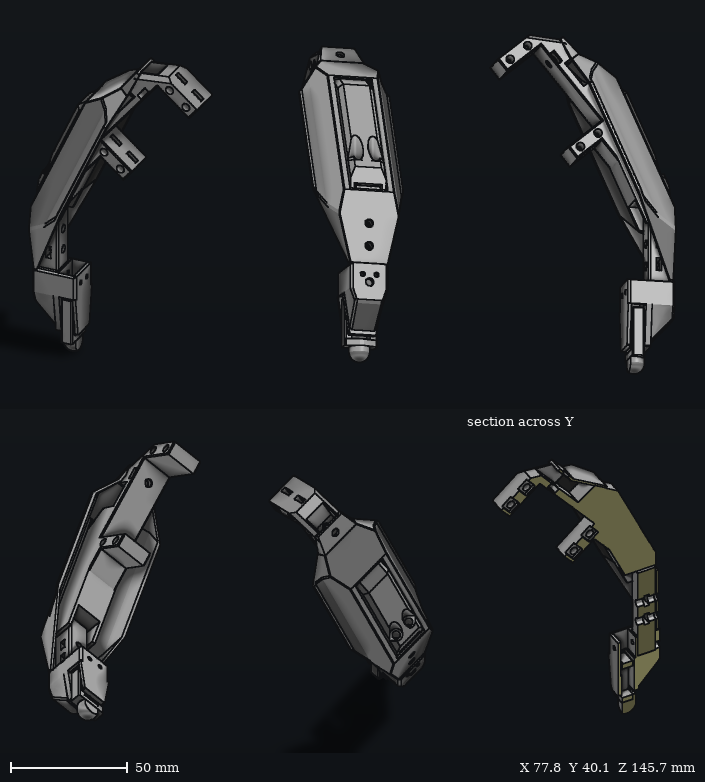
import cadquery as cq
import math

LEG_HEIGHT = 145.7
SCREW_DIA = 3.5
NUT_LENGTH = 5.5
NUT_WIDTH = 2.3
SMALL_EDGE = 0.5
BIG = 291.4

PANEL_X = 0.7
PANEL_Z = 72.0
PANEL_LEAN = math.radians(24.7)
PANEL_LENGTH = 61.2

LUG_THICKNESS = 6.5
HEAD_SETBACK = 0.36
ARM_LEAN = math.radians(40)
ARM_X = 58.9
ARM_Z = LEG_HEIGHT - LUG_THICKNESS * math.cos(ARM_LEAN) + HEAD_SETBACK * math.sin(ARM_LEAN)

WALL = 1.3
COVER_DEPTH = 14.9
COVER_BOTTOM = 40.2
COVER_BOTTOM_HALF_WIDTH = 8.5
LOWER_TAPER_DIRECTION = (-0.19, 1, -0.23)
UPPER_TAPER_POINT = (35.8, 14.1, 133.0)
UPPER_TAPER_DIRECTION = (0.2, 1, 0.64)
PANEL_HALF_WIDTH = 11.2
CREASE_DEPTH = 10.2
INNER_FLARE = math.radians(26)
OUTER_FLARE = math.radians(39)
FLANGE_HALF_WIDTH = 20.03
ROOF_SLOPE = math.radians(31.5)
BEVEL = 0.17
WINDOW_HALF_WIDTH = 8.5
WINDOW_MARGIN = 0.9
COVER_SCREWS_Z = (47.8, 57.7)

TAB_START = -13.0
TAB_END = -2.9
TAB_DEPTH = 10.42
TAB_HALF_WIDTH_START = 9.69
TAB_HALF_WIDTH_END = 7.3
TAB_SIDE_SLOPE = 0.22

BRACKET_HALF_WIDTH = 7.9
BOX_RISE = 3.2
BOX_START = 10.2
BOX_END = 54.3
BOX_CHAMFER = 2.0
BRACKET_FRONT_X = 2.1
BRACKET_BOTTOM = 65.3
ROOF_END_X = 32.0
FLOOR_THICKNESS = 3.4
FLOOR_START = -25.0
HEAD_START = -12.4
HEAD_CAVITY_HALF_WIDTH = 5.1
TAB_SCREW = -8.0
TAB_NUT_DEPTH = 1.9
HEEL_DEPTH = 5.4
HEEL_END = -59.3
HEEL_X = 12.5
ARM_CHAMFER = 0.51

LUG_REACH = 19.2
LOWER_LUG = -48.0
LUG_HOLES = (4.8, 14.9)
LUG_NUT_DEPTH = 5.2

SHIN_TOP = 74.3
SHIN_HALF_WIDTH = 5.4
SHIN_BACK_X = 11.0
SHIN_CHAMFER = 0.9
SHIN_FRONT_X = 2.2
SHIN_BOTTOM = 29.1
JOINT_TOP = 75.3
JOINT_HALF_WIDTH = 6.3
BORE_X = 6.34
BORE_Y = 4.0
BORE_FLOOR = 86.0
BORE_DIA = 5.5
BORE_HEIGHT = 17.5
NUT_X = 6.48

ANKLE_LENGTH = 20.7
ANKLE_HALF_WIDTH = 8.5
ANKLE_TOP = 39.9
ANKLE_BAND_BOTTOM = 29.0
ANKLE_CHAMFER = 1.0
BAND_TOP_CHAMFER = 0.6
BAND_SIDE_CHAMFER = 1.5
NOSE_BOTTOM = 23.5
NOSE_BOTTOM_HALF_WIDTH = 6.4
PLATE_FRONT_X = 10.2
PLATE_BACK_X = 12.8
PLATE_BOTTOM = 10.9
SLOPE_END_Z = 12.7
PLATE_BOTTOM_HALF_WIDTH = 6.0
BACK_WALL_X = 19.2
PAD_X = 18.6
PAD_TOP = 21.5
ANKLE_OPENING_X = 12.0
ANKLE_OPENING_HALF_WIDTH = 7.1
ANKLE_SCREW_Z = 31.8
PIN_DIA = 2.0
PIN_Y = 3.0
PIN_Z = 35.1

SLIDER_FRONT_X = 13.3
SLIDER_BACK_X = 18.57
SLIDER_HALF_WIDTH = 7.3
SLIDER_BOTTOM = 6.5
SLIDER_TOP = 27.8
SLIDER_CHAMFER = 0.6
SLIDER_WINDOW_HALF_WIDTH = 4.1
SLIDER_WINDOW_TOP = 24.8
FOOT_RADIUS = 4.5
FOOT_X = 16.2
FOOT_TOP = 9.5
DOME_HEIGHT = 4.1
FAIRING_FRONT_X = 11.8
FAIRING_STRIP_HALF_WIDTH = 0.9
FAIRING_HALF_WIDTH = 7.0


def on_panel(along, depth):
    """XZ point at a distance up the slanted panel and a depth behind it."""
    x = PANEL_X + along * math.sin(PANEL_LEAN) + depth * math.cos(PANEL_LEAN)
    z = PANEL_Z + along * math.cos(PANEL_LEAN) - depth * math.sin(PANEL_LEAN)
    return (x, z)


def on_arm(along, out):
    """XZ point at a distance up the arm's back face and a distance out behind it."""
    x = ARM_X + along * math.sin(ARM_LEAN) + out * math.cos(ARM_LEAN)
    z = ARM_Z + along * math.cos(ARM_LEAN) - out * math.sin(ARM_LEAN)
    return (x, z)


def across(points, half_width):
    """Prism of an XZ outline, centred on Y = 0."""
    return cq.Workplane("XZ").polyline(points).close().extrude(half_width, both=True)


def block(x_range, half_width, z_range):
    """Block centred on Y = 0."""
    (x0, x1), (z0, z1) = x_range, z_range
    return across([(x0, z0), (x1, z0), (x1, z1), (x0, z1)], half_width)


def arm_block(along_range, out_range, half_width):
    """Block with its sides along and across the arm."""
    (a0, a1), (o0, o1) = along_range, out_range
    return across([on_arm(a0, o0), on_arm(a0, o1), on_arm(a1, o1), on_arm(a1, o0)], half_width)


def cross_hole(centre, diameter):
    """Round cutter along Y."""
    return cq.Workplane("XZ").center(*centre).circle(diameter / 2).extrude(BIG / 2, both=True)


def front_hole(y, z, diameter, x_range):
    """Round cutter along X."""
    x0, x1 = x_range
    return cq.Workplane("YZ", origin=(x0, y, z)).circle(diameter / 2).extrude(x1 - x0)


def beyond(point, normal):
    """Large block filling the space on the outer side of a plane."""
    return cq.Workplane(cq.Plane(point, normal=normal)).rect(BIG, BIG).extrude(BIG)


def unit(vector):
    return cq.Vector(*vector).normalized()


def at_y(xz, y):
    return cq.Vector(xz[0], y, xz[1])


def mirrored(vector):
    return cq.Vector(vector.x, -vector.y, vector.z)


def panel_normal(flare):
    """Normal of a face that leaves the panel direction at a flare angle, on the +Y side."""
    return unit((
        -math.sin(flare) * math.cos(PANEL_LEAN),
        math.cos(flare),
        math.sin(flare) * math.sin(PANEL_LEAN),
    ))


ROOF_POINT = on_panel(PANEL_LENGTH, 0)
CREASE_HALF_WIDTH = PANEL_HALF_WIDTH + CREASE_DEPTH * math.tan(INNER_FLARE)
FLANGE_DEPTH = COVER_DEPTH - WALL
PLATE_FACE = (cq.Vector(PANEL_X, 0, PANEL_Z), unit((-1, 0, 0)))
PANEL_FACE = (
    cq.Vector(PANEL_X, 0, PANEL_Z),
    unit((-math.cos(PANEL_LEAN), 0, math.sin(PANEL_LEAN))),
)
ROOF_FACE = (at_y(ROOF_POINT, 0), unit((-math.sin(ROOF_SLOPE), 0, math.cos(ROOF_SLOPE))))
INNER_SIDE = (at_y(on_panel(0, 0), PANEL_HALF_WIDTH), panel_normal(INNER_FLARE))
OUTER_SIDE = (at_y(on_panel(0, CREASE_DEPTH), CREASE_HALF_WIDTH), panel_normal(OUTER_FLARE))
LOWER_TAPER = (cq.Vector(PANEL_X, COVER_BOTTOM_HALF_WIDTH, COVER_BOTTOM), unit(LOWER_TAPER_DIRECTION))
UPPER_TAPER = (cq.Vector(*UPPER_TAPER_POINT), unit(UPPER_TAPER_DIRECTION))
TAB_JOINT = (at_y(on_arm(TAB_START, 0), 0), unit((math.sin(ARM_LEAN), 0, math.cos(ARM_LEAN))))


def trim(body, face, inset):
    """Trim a body at a face moved inwards."""
    point, normal = face
    return body.cut(beyond(point - normal * inset, normal))


def trim_both_sides(body, face, inset):
    point, normal = face
    body = trim(body, face, inset)
    return trim(body, (mirrored(point), mirrored(normal)), inset)


def bevel(face, side):
    """Narrow face across the edge between two faces."""
    (point, normal), (side_point, side_normal) = face, side
    mix = normal.dot(side_normal)
    reach = normal.dot(point)
    side_reach = side_normal.dot(side_point)
    scale = 1 - mix * mix
    edge = normal * ((reach - mix * side_reach) / scale) + side_normal * ((side_reach - mix * reach) / scale)
    direction = (normal + side_normal).normalized()
    return (edge - direction * BEVEL, direction)


def behind_panel(depth, half_width):
    """Slab parallel to the panel, from a depth behind it to the open back of the cover."""
    outline = [on_panel(end, edge) for end, edge in (
        (-BIG / 2, depth), (-BIG / 2, COVER_DEPTH), (BIG / 2, COVER_DEPTH), (BIG / 2, depth)
    )]
    return across(outline, half_width)


def flared_layer(side, inset):
    """Space between the front faces and one pair of flared sides."""
    layer = behind_panel(-BIG / 2, BIG / 2)
    front_faces = (PLATE_FACE, PANEL_FACE, ROOF_FACE)
    for face in front_faces:
        layer = trim(layer, face, inset)
    layer = trim_both_sides(layer, side, inset)
    if inset == 0:
        for face in front_faces:
            layer = trim_both_sides(layer, bevel(face, side), 0)
        for taper in (LOWER_TAPER, UPPER_TAPER):
            layer = trim_both_sides(layer, bevel(side, taper), 0)
    return layer


def cover_form(inset):
    """Outer shape of the cover without its tab, moved inwards all round."""
    body = flared_layer(INNER_SIDE, inset).union(flared_layer(OUTER_SIDE, inset))
    if inset == 0:
        body = body.union(trim(behind_panel(FLANGE_DEPTH, FLANGE_HALF_WIDTH), PLATE_FACE, 0))
        body = trim_both_sides(body, bevel(PLATE_FACE, LOWER_TAPER), 0)
        body = trim_both_sides(body, bevel(ROOF_FACE, UPPER_TAPER), 0)
    for face in (LOWER_TAPER, UPPER_TAPER):
        body = trim_both_sides(body, face, inset)
    return trim(body, TAB_JOINT, 0)


def tab_section(along, half_width, inset):
    """Trapezoid across the arm, wider towards the back."""
    back = half_width + TAB_DEPTH * TAB_SIDE_SLOPE
    front_x, front_z = on_arm(along, inset - TAB_DEPTH)
    back_x, back_z = on_arm(along, 0)
    return cq.Wire.makePolygon([
        (front_x, half_width - inset, front_z),
        (front_x, inset - half_width, front_z),
        (back_x, inset - back, back_z),
        (back_x, back - inset, back_z),
    ], close=True)


def cover_tab(inset):
    """Tapered tab along the arm, as a loft of two trapezoids across it."""
    sections = [
        tab_section(TAB_START, TAB_HALF_WIDTH_START, inset),
        tab_section(TAB_END, TAB_HALF_WIDTH_END, inset),
    ]
    tab = cq.Workplane(cq.Solid.makeLoft(sections, True))
    back_face = (at_y(on_panel(0, COVER_DEPTH), 0), PANEL_FACE[1] * -1)
    return trim(tab, back_face, 0)


def make_cover(bracket, shin):
    """Thin cover, open at the back and the bottom, relieved where the bracket and shin meet it."""
    cover = cover_form(0).union(cover_tab(0))
    cavity = cover_form(WALL).union(cover_tab(WALL))
    cover = cover.cut(cavity)
    cover = cover.cut(beyond((0, 0, COVER_BOTTOM), (0, 0, -1)))
    window_ends = (WINDOW_MARGIN, PANEL_LENGTH - WINDOW_MARGIN)
    window_low, window_high = [[on_panel(end, depth) for depth in (-WALL, 2 * WALL)] for end in window_ends]
    window = across([*window_low, *reversed(window_high)], WINDOW_HALF_WIDTH)
    cover = cover.cut(window)
    for z in COVER_SCREWS_Z:
        cover = cover.cut(front_hole(0, z, SCREW_DIA, (0, SHIN_FRONT_X)))
    cover = cover.cut(tab_screw_hole())
    return cover.cut(bracket).cut(shin)


def tab_screw_hole():
    """Round cutter square to the arm, through the tab and the arm."""
    x, z = on_arm(TAB_SCREW, -TAB_DEPTH - WALL)
    direction = (math.cos(ARM_LEAN), 0, -math.sin(ARM_LEAN))
    plane = cq.Plane((x, 0, z), normal=direction)
    return cq.Workplane(plane).circle(SCREW_DIA / 2).extrude(TAB_DEPTH + 2 * WALL)


def lug_corners(base):
    """Two outer corners of a lug, top first."""
    return [on_arm(base + LUG_THICKNESS, LUG_REACH), on_arm(base, LUG_REACH)]


def drill_lug(bracket, base):
    """Cross holes of a lug with their nut slots."""
    top = base + LUG_THICKNESS
    for out in LUG_HOLES:
        bracket = bracket.cut(cross_hole(on_arm(base + LUG_THICKNESS / 2, out), SCREW_DIA))
        nut_range = (out - NUT_LENGTH / 2, out + NUT_LENGTH / 2)
        bracket = bracket.cut(arm_block((top - LUG_NUT_DEPTH, top + 1.5), nut_range, NUT_WIDTH / 2))
    return bracket


def chamfer_outline(bracket, points, size):
    """Chamfer, on both sides of the bracket, the edges between successive outline points."""
    found = []
    for (x0, z0), (x1, z1) in zip(points, points[1:]):
        for y in (-BRACKET_HALF_WIDTH, BRACKET_HALF_WIDTH):
            middle = ((x0 + x1) / 2, y, (z0 + z1) / 2)
            found += bracket.edges(cq.NearestToPointSelector(middle)).vals()
    return bracket.newObject(found).chamfer(size)


def teardrop_bore(side):
    """Vertical counterbore whose 45 degree tip points out to one side."""
    radius = BORE_DIA / 2
    reach = radius / math.sqrt(2)
    floor = cq.Workplane(origin=(BORE_X, side * BORE_Y, BORE_FLOOR))
    round_part = floor.circle(radius).extrude(BORE_HEIGHT)
    tip_outline = [(-reach, side * reach), (0, side * 2 * reach), (reach, side * reach), (0, 0)]
    tip = floor.polyline(tip_outline).close().extrude(BORE_HEIGHT)
    return round_part.union(tip)


def make_bracket():
    """Box, arm and two lugs in one outline, with a fork at the bottom for the shin."""
    box_low = on_panel(BOX_START, -BOX_RISE)
    box_high = on_panel(BOX_END, -BOX_RISE)
    roof_end = (ROOF_END_X, box_high[1] + (ROOF_END_X - box_high[0]) * math.tan(ROOF_SLOPE))
    head_front = WALL - TAB_DEPTH
    head_start = on_arm(TAB_END, head_front)
    head_end = on_arm(LUG_THICKNESS, HEAD_SETBACK)
    floor_start = on_arm(FLOOR_START, -FLOOR_THICKNESS)
    floor_end = on_arm(HEAD_START, -FLOOR_THICKNESS)
    back_line = [
        head_end,
        *lug_corners(0),
        on_arm(0, 0),
        on_arm(LOWER_LUG + LUG_THICKNESS, 0),
        *lug_corners(LOWER_LUG),
        on_arm(LOWER_LUG, HEEL_DEPTH),
        on_arm(HEEL_END, HEEL_DEPTH),
    ]
    bracket = across([
        (BRACKET_FRONT_X, BRACKET_BOTTOM),
        (BRACKET_FRONT_X, box_low[1]),
        box_high,
        roof_end,
        floor_start,
        floor_end,
        on_arm(HEAD_START, head_front),
        head_start,
        *back_line,
        (HEEL_X, BRACKET_BOTTOM),
    ], BRACKET_HALF_WIDTH)

    bracket = chamfer_outline(bracket, [box_low, box_high, roof_end], BOX_CHAMFER)
    bracket = chamfer_outline(bracket, [head_start, head_end], BOX_CHAMFER)
    bracket = chamfer_outline(bracket, back_line[1:], ARM_CHAMFER)

    bracket = bracket.cut(
        arm_block((HEAD_START, 2 * LUG_THICKNESS), (-2 * TAB_DEPTH, -FLOOR_THICKNESS), HEAD_CAVITY_HALF_WIDTH)
    )
    bracket = bracket.cut(tab_screw_hole())
    bracket = bracket.cut(arm_block(
        (TAB_SCREW - NUT_LENGTH / 2, TAB_SCREW + NUT_LENGTH / 2),
        (-TAB_NUT_DEPTH - NUT_WIDTH / 2, -TAB_NUT_DEPTH + NUT_WIDTH / 2),
        BIG,
    ))
    for base in (0, LOWER_LUG):
        bracket = drill_lug(bracket, base)

    bracket = bracket.cut(block((0, ANKLE_LENGTH), JOINT_HALF_WIDTH, (BRACKET_BOTTOM - 1.5, JOINT_TOP)))
    for side in (-1, 1):
        centre = (BORE_X, side * BORE_Y, SHIN_TOP)
        hole = cq.Workplane(origin=centre).circle(SCREW_DIA / 2).extrude(BORE_HEIGHT)
        bracket = bracket.cut(teardrop_bore(side)).cut(hole)
    return bracket


def make_shin():
    """Upright post between bracket and ankle, with screw holes and nut slots for the cover."""
    shin = block((SHIN_FRONT_X, SHIN_BACK_X), SHIN_HALF_WIDTH, (SHIN_BOTTOM, SHIN_TOP))
    shin = shin.edges("|Z and >X").chamfer(SHIN_CHAMFER)
    for z in COVER_SCREWS_Z:
        shin = shin.cut(front_hole(0, z, SCREW_DIA, (0, ANKLE_LENGTH)))
        shin = shin.cut(block(
            (NUT_X - NUT_WIDTH / 2, NUT_X + NUT_WIDTH / 2),
            SHIN_HALF_WIDTH + 1.5,
            (z - NUT_LENGTH / 2, z + NUT_LENGTH / 2),
        ))
    for y in (-PIN_Y, PIN_Y):
        shin = shin.cut(front_hole(y, PIN_Z, PIN_DIA, (0, ANKLE_LENGTH)))
    return shin


def ankle_section(x, half_width, bottom, bottom_half_width, corner):
    """Section across X that narrows from the band down to a bottom with chamfered corners."""
    right = [
        (half_width, ANKLE_BAND_BOTTOM),
        (bottom_half_width, bottom + corner),
        (bottom_half_width - corner, bottom),
    ]
    left = [(-y, z) for y, z in reversed(right)]
    return cq.Wire.makePolygon([(x, y, z) for y, z in right + left], close=True)


def ankle_loft(*sections):
    return cq.Workplane(cq.Solid.makeLoft([ankle_section(*section) for section in sections], True))


def tapered_plate(x0, x1):
    """Plate below the band, narrowing downwards."""
    outline = (ANKLE_HALF_WIDTH, PLATE_BOTTOM, PLATE_BOTTOM_HALF_WIDTH, SMALL_EDGE)
    return ankle_loft((x0, *outline), (x1, *outline))


def make_ankle():
    """Band around the shin with a sloping nose, a front plate and a back wall below it."""
    band = block((0, ANKLE_LENGTH), ANKLE_HALF_WIDTH, (ANKLE_BAND_BOTTOM, ANKLE_TOP))
    ankle = band.edges("|Z").chamfer(ANKLE_CHAMFER)
    ankle = ankle.edges("|X and >Z").chamfer(BAND_TOP_CHAMFER, BAND_SIDE_CHAMFER)
    half_chamfer = ANKLE_CHAMFER / 2
    nose = ankle_loft(
        (
            0,
            ANKLE_HALF_WIDTH - ANKLE_CHAMFER,
            NOSE_BOTTOM + half_chamfer,
            NOSE_BOTTOM_HALF_WIDTH - half_chamfer,
            half_chamfer,
        ),
        (ANKLE_CHAMFER, ANKLE_HALF_WIDTH, NOSE_BOTTOM - ANKLE_CHAMFER, NOSE_BOTTOM_HALF_WIDTH, ANKLE_CHAMFER),
        (PLATE_FRONT_X, ANKLE_HALF_WIDTH, SLOPE_END_Z, PLATE_BOTTOM_HALF_WIDTH, ANKLE_CHAMFER),
    )
    ankle = ankle.union(nose).union(tapered_plate(PLATE_FRONT_X, PLATE_BACK_X))
    ankle = ankle.union(tapered_plate(BACK_WALL_X, ANKLE_LENGTH))
    pad = block((PAD_X, BACK_WALL_X), PLATE_BOTTOM_HALF_WIDTH, (PLATE_BOTTOM, PAD_TOP))
    ankle = ankle.union(pad)

    ankle = ankle.cut(block(
        (ANKLE_OPENING_X, BACK_WALL_X), ANKLE_OPENING_HALF_WIDTH, (ANKLE_BAND_BOTTOM, ANKLE_TOP + 1.5)
    ))
    ankle = ankle.cut(front_hole(0, ANKLE_SCREW_Z, SCREW_DIA, (-1.5, SHIN_FRONT_X)))
    for y in (-PIN_Y, PIN_Y):
        ankle = ankle.cut(front_hole(y, PIN_Z, PIN_DIA, (-1.5, ANKLE_LENGTH + 1.5)))
    return ankle.cut(block((SHIN_FRONT_X, SHIN_BACK_X), SHIN_HALF_WIDTH, (SHIN_BOTTOM, SHIN_TOP)))


def make_slider():
    """Upright frame between the ankle's front plate and back wall."""
    slider = block((SLIDER_FRONT_X, SLIDER_BACK_X), SLIDER_HALF_WIDTH, (SLIDER_BOTTOM, SLIDER_TOP))
    slider = slider.edges("|Z").chamfer(SLIDER_CHAMFER)
    slider = slider.edges(">Z").chamfer(SMALL_EDGE)
    return slider.cut(block(
        (SLIDER_FRONT_X - 1.5, SLIDER_BACK_X + 1.5), SLIDER_WINDOW_HALF_WIDTH, (FOOT_TOP, SLIDER_WINDOW_TOP)
    ))


def make_foot():
    """Domed foot under the slider, with a fairing in front of it."""
    dome_radius = (FOOT_RADIUS ** 2 + DOME_HEIGHT ** 2) / (2 * DOME_HEIGHT)
    half_turn = math.asin(FOOT_RADIUS / dome_radius) / 2
    profile = (
        cq.Workplane("XZ")
        .moveTo(0, 0)
        .threePointArc(
            (dome_radius * math.sin(half_turn), dome_radius * (1 - math.cos(half_turn))),
            (FOOT_RADIUS, DOME_HEIGHT),
        )
        .lineTo(FOOT_RADIUS, SLIDER_BOTTOM)
        .lineTo(0, SLIDER_BOTTOM)
        .close()
    )
    ball = profile.revolve(360, (0, 0, 0), (0, 1, 0)).translate((FOOT_X, 0, 0))
    ball = ball.cut(beyond((SLIDER_BACK_X, 0, 0), (1, 0, 0)))
    fairing = (
        cq.Workplane(origin=(0, 0, SLIDER_BOTTOM))
        .polyline([
            (SLIDER_FRONT_X, -FAIRING_HALF_WIDTH),
            (FAIRING_FRONT_X, -FAIRING_STRIP_HALF_WIDTH),
            (FAIRING_FRONT_X, FAIRING_STRIP_HALF_WIDTH),
            (SLIDER_FRONT_X, FAIRING_HALF_WIDTH),
        ])
        .close()
        .extrude(FOOT_TOP - SLIDER_BOTTOM)
    )
    return ball.union(fairing)


bracket = make_bracket()
shin = make_shin()
cover = make_cover(bracket, shin)
ankle = make_ankle()
slider = make_slider()
foot = make_foot()
result = cq.Compound.makeCompound([
    *cover.solids().vals(),
    *bracket.solids().vals(),
    *shin.solids().vals(),
    *ankle.solids().vals(),
    *slider.solids().vals(),
    *foot.solids().vals(),
])